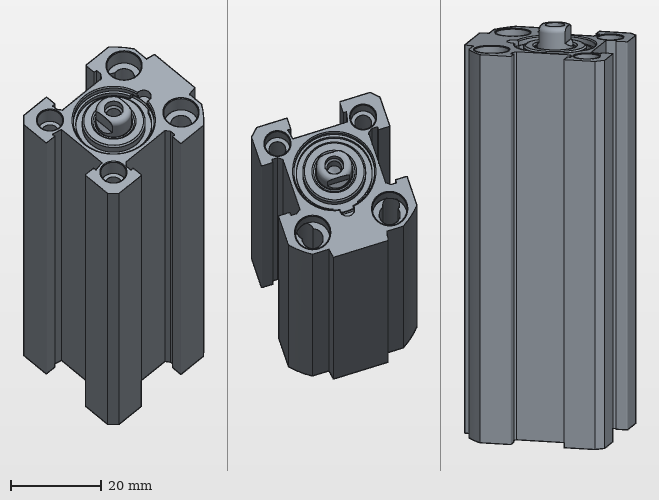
import cadquery as cq
import math

TOTAL_HEIGHT = 92.5
WIDTH = 30.0
DEPTH = 34.0
ROD_PROTRUSION = 4.35
HALF_WIDTH = WIDTH / 2
FRONT_Y = -HALF_WIDTH
BACK_Y = FRONT_Y + DEPTH
HOUSING_TOP = TOTAL_HEIGHT - ROD_PROTRUSION

WEB = 10.0
LIP_DEPTH = 2.7
LIP_HALF_GAP = 6.1
LIP_ROUND = 0.2
UNDERCUT_HALF_GAP = 6.8
SIDE_FLOOR_HALF_GAP = 6.1
FRONT_FLOOR_HALF_GAP = 6.4
UNDERCUT_LENGTH = 1.3
FRONT_CHAMFER = 1.8
BACK_CORNER_RADIUS = 20.0
SHOULDER_Y = 16.9
BOSS_HALF_WIDTH = 6.75
BOSS_TIP_HALF_WIDTH = 6.4

BOLT_OFFSET = 10.0
BOLT_HOLE_D = 3.7
FRONT_COUNTERBORE_D = 5.6
BACK_COUNTERBORE_D = 7.7
COUNTERBORE_DEPTH = 4.4
COUNTERBORE_CHAMFER = 0.2
PORT_X = 9.0
PORT_Y = 12.1
PORT_HOLE_D = 4.6

BORE_D = 17.9
BORE_DEPTH = 11.1
BORE_CHAMFER = 0.3
GROOVE_D = 19.0
RING_INNER_D = 16.8
RING_THICKNESS = 1.0
RING_TOP_DROP = 1.4
RING_GAP = 5.7
NOTCH_D = 3.2
NOTCH_Y = 9.3

HUB_D = 14.0
HUB_TOP_D = 13.2
HUB_DROP = 0.3
COVER_MOUTH_D = 9.9
SEAL_D = 9.2
SEAL_HEIGHT = 2.8
SEAL_LIP_D = 8.4

ROD_D = 8.0
ROD_ROUND = 1.2
FLAT_WIDTH = 6.0
FLAT_BOTTOM_RISE = 0.8
THREAD_MOUTH_D = 4.2
THREAD_MOUTH_DEPTH = 1.7
THREAD_D = 3.2
THREAD_DEPTH = 5.55
DRILL_HALF_ANGLE = 59.0

BORE_FLOOR = HOUSING_TOP - BORE_DEPTH
RING_TOP = HOUSING_TOP - RING_TOP_DROP
RING_BOTTOM = RING_TOP - RING_THICKNESS
HUB_TOP = HOUSING_TOP - HUB_DROP
SEAL_TOP = HUB_TOP - (COVER_MOUTH_D - SEAL_D) / 2
SEAL_BOTTOM = SEAL_TOP - SEAL_HEIGHT


def cylinder(diameter, bottom, top, x=0.0, y=0.0):
    return cq.Workplane("XY", origin=(x, y, bottom)).circle(diameter / 2).extrude(top - bottom)


def cone(bottom_d, top_d, bottom, top, x=0.0, y=0.0):
    solid = cq.Solid.makeCone(bottom_d / 2, top_d / 2, top - bottom, cq.Vector(x, y, bottom))
    return cq.Workplane(obj=solid)


def extrusion():
    """Slotted profile: right half from the back boss to the front slot, then mirrored."""
    shoulder_x = math.sqrt(BACK_CORNER_RADIUS**2 - SHOULDER_Y**2)
    side_y = math.sqrt(BACK_CORNER_RADIUS**2 - HALF_WIDTH**2)
    mid_angle = (math.atan2(SHOULDER_Y, shoulder_x) + math.atan2(side_y, HALF_WIDTH)) / 2
    arc_mid = (BACK_CORNER_RADIUS * math.cos(mid_angle), BACK_CORNER_RADIUS * math.sin(mid_angle))
    lip_inner = HALF_WIDTH - LIP_DEPTH
    undercut_x = lip_inner - UNDERCUT_LENGTH
    upper_slot = [
        (HALF_WIDTH, LIP_HALF_GAP),
        (lip_inner, LIP_HALF_GAP),
        (lip_inner, UNDERCUT_HALF_GAP),
        (undercut_x, UNDERCUT_HALF_GAP),
        (WEB, SIDE_FLOOR_HALF_GAP),
    ]
    lower_slot = [(x, -y) for x, y in reversed(upper_slot)]
    front_slot = [
        (HALF_WIDTH, FRONT_Y + FRONT_CHAMFER),
        (HALF_WIDTH - FRONT_CHAMFER, FRONT_Y),
        (LIP_HALF_GAP, FRONT_Y),
        (LIP_HALF_GAP, -lip_inner),
        (UNDERCUT_HALF_GAP, -lip_inner),
        (FRONT_FLOOR_HALF_GAP, -WEB),
        (0, -WEB),
    ]
    half = (
        cq.Workplane("XY")
        .moveTo(0, BACK_Y)
        .lineTo(BOSS_TIP_HALF_WIDTH, BACK_Y)
        .lineTo(BOSS_HALF_WIDTH, SHOULDER_Y)
        .lineTo(shoulder_x, SHOULDER_Y)
        .threePointArc(arc_mid, (HALF_WIDTH, side_y))
    )
    for point in upper_slot + lower_slot + front_slot:
        half = half.lineTo(*point)
    half = half.close().extrude(HOUSING_TOP)
    lip_corners = [
        (HALF_WIDTH, LIP_HALF_GAP),
        (HALF_WIDTH, -LIP_HALF_GAP),
        (LIP_HALF_GAP, FRONT_Y),
    ]
    for x, y in lip_corners:
        edge = cq.selectors.NearestToPointSelector((x, y, HOUSING_TOP / 2))
        half = half.edges("|Z").edges(edge).fillet(LIP_ROUND)
    return half.union(half.mirror("YZ")).clean()


def counterbore(diameter, x, y):
    mouth_d = diameter + 2 * COUNTERBORE_CHAMFER
    bore = cylinder(diameter, HOUSING_TOP - COUNTERBORE_DEPTH, HOUSING_TOP, x, y)
    chamfer = cone(diameter, mouth_d, HOUSING_TOP - COUNTERBORE_CHAMFER, HOUSING_TOP, x, y)
    return bore.union(chamfer)


def make_housing():
    body = extrusion()
    for side in (-1, 1):
        bolt_x = side * BOLT_OFFSET
        port_x = side * PORT_X
        body = body.cut(cylinder(BOLT_HOLE_D, 0, HOUSING_TOP, bolt_x, -BOLT_OFFSET))
        body = body.cut(counterbore(FRONT_COUNTERBORE_D, bolt_x, -BOLT_OFFSET))
        body = body.cut(cylinder(BOLT_HOLE_D, 0, HOUSING_TOP - COUNTERBORE_DEPTH, bolt_x, BOLT_OFFSET))
        body = body.cut(cylinder(PORT_HOLE_D, 0, HOUSING_TOP, port_x, PORT_Y))
        body = body.cut(counterbore(BACK_COUNTERBORE_D, port_x, PORT_Y))
    seat_chamfer = (GROOVE_D - BORE_D) / 2
    body = body.cut(cylinder(BORE_D, BORE_FLOOR, HOUSING_TOP))
    body = body.cut(cone(BORE_D, BORE_D + 2 * BORE_CHAMFER, HOUSING_TOP - BORE_CHAMFER, HOUSING_TOP))
    body = body.cut(cylinder(GROOVE_D, RING_BOTTOM, RING_TOP))
    body = body.cut(cone(BORE_D, GROOVE_D, RING_BOTTOM - seat_chamfer, RING_BOTTOM))
    return body.cut(cylinder(NOTCH_D, RING_BOTTOM, HOUSING_TOP, 0, NOTCH_Y))


def make_retaining_ring():
    ring = cylinder(GROOVE_D, RING_BOTTOM, RING_TOP).cut(cylinder(RING_INNER_D, RING_BOTTOM, RING_TOP))
    gap = (
        cq.Workplane("XY", origin=(0, 0, RING_BOTTOM))
        .rect(RING_GAP, GROOVE_D)
        .extrude(RING_THICKNESS)
        .translate((0, GROOVE_D / 2, 0))
    )
    return ring.cut(gap)


def make_cover():
    hub_chamfer = (HUB_D - HUB_TOP_D) / 2
    cover = cylinder(BORE_D, BORE_FLOOR, RING_BOTTOM)
    cover = cover.union(cylinder(HUB_D, BORE_FLOOR, HUB_TOP).faces(">Z").chamfer(hub_chamfer))
    cover = cover.cut(cylinder(ROD_D, BORE_FLOOR, HUB_TOP))
    cover = cover.cut(cylinder(SEAL_D, SEAL_BOTTOM, HUB_TOP))
    return cover.cut(cone(SEAL_D, COVER_MOUTH_D, SEAL_TOP, HUB_TOP))


def make_seal():
    lip_chamfer = (SEAL_LIP_D - ROD_D) / 2
    seal = cylinder(SEAL_D, SEAL_BOTTOM, SEAL_TOP).cut(cylinder(ROD_D, SEAL_BOTTOM, SEAL_TOP))
    return seal.cut(cone(ROD_D, SEAL_LIP_D, SEAL_TOP - lip_chamfer, SEAL_TOP))


def flat_cutter():
    """Wedge beyond one wrench flat, with a 45 degree run-out at its lower end."""
    flat_y = FLAT_WIDTH / 2
    outer_y = ROD_D
    flat_bottom = HOUSING_TOP + FLAT_BOTTOM_RISE
    outline = [
        (flat_y, TOTAL_HEIGHT),
        (flat_y, flat_bottom),
        (outer_y, flat_bottom - (outer_y - flat_y)),
        (outer_y, TOTAL_HEIGHT),
    ]
    return cq.Workplane("YZ").polyline(outline).close().extrude(ROD_D, both=True)


def make_rod():
    rod = cylinder(ROD_D, BORE_FLOOR, TOTAL_HEIGHT).faces(">Z").edges().fillet(ROD_ROUND)
    rod = rod.cut(flat_cutter()).cut(flat_cutter().mirror("XZ"))
    thread_floor = TOTAL_HEIGHT - THREAD_DEPTH
    tip_height = THREAD_D / 2 / math.tan(math.radians(DRILL_HALF_ANGLE))
    mouth_floor = TOTAL_HEIGHT - THREAD_MOUTH_DEPTH
    countersink_height = (THREAD_MOUTH_D - THREAD_D) / 2
    rod = rod.cut(cylinder(THREAD_MOUTH_D, mouth_floor, TOTAL_HEIGHT))
    rod = rod.cut(cone(THREAD_D, THREAD_MOUTH_D, mouth_floor - countersink_height, mouth_floor))
    rod = rod.cut(cylinder(THREAD_D, thread_floor, TOTAL_HEIGHT))
    return rod.cut(cone(0, THREAD_D, thread_floor - tip_height, thread_floor))


housing = make_housing()
retaining_ring = make_retaining_ring()
cover = make_cover()
seal = make_seal()
rod = make_rod()

result = cq.Compound.makeCompound(
    [housing.val(), retaining_ring.val(), cover.val(), seal.val(), rod.val()]
)